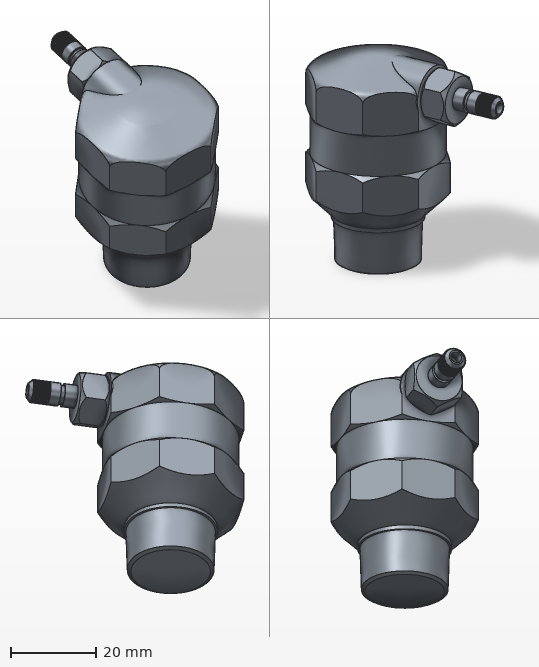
import cadquery as cq
import math

SPIGOT_HEIGHT = 11.0
SPIGOT_TOP_RADIUS = 10.5
SPIGOT_TAPER = 1 / 16
SPIGOT_CHAMFER_HEIGHT = 0.5
SPIGOT_CHAMFER_WIDTH = 0.87
COLLAR_RADIUS = 22.0 / 2
COLLAR_TOP = 12.0

BODY_RADIUS = 32.0 / 2
OCTAGON_SIDES = 8
OCTAGON_CORNER_RADIUS = BODY_RADIUS / math.cos(math.pi / OCTAGON_SIDES)
CORNER_OVERHANG = OCTAGON_CORNER_RADIUS - BODY_RADIUS
BAND_BOTTOM = 27.0
BAND_TOP = 37.0
UPPER_UNDERCUT_ANGLE = math.radians(30)

CAP_EDGE_HEIGHT = 48.25
CAP_EDGE_ROUND = 3.0
CAP_SLOPE = math.radians(20)
DOME_RIM_RADIUS = 7.15

BOSS_RADIUS = 14.0 / 2
BOSS_AXIS_HEIGHT = 45.0
BOSS_FACE_X = -BODY_RADIUS
NUT_LENGTH = 7.0
NUT_ACROSS_FLATS = 12.0
NUT_SIDES = 6
NUT_CORNER_RADIUS = NUT_ACROSS_FLATS / 2 / math.cos(math.pi / NUT_SIDES)
NUT_CHAMFER = 1.2

STEM_RADIUS = 5.5 / 2
STEM_AXIS_HEIGHT = 45.33
STEM_TIP_X = -34.5
TIP_FACE_RADIUS = 1.75
NECK_RADIUS = 4.52 / 2
NECK_START = 7.5
NECK_END = 8.5
KNURL_LENGTH = 5.0
KNURL_TEETH = 48
KNURL_DEPTH = 0.2
TIP_HOLE_RADIUS = 2.7 / 2
TIP_HOLE_DEPTH = 3.0
DRILL_POINT_ANGLE = math.radians(118)


def octagon(bottom, top):
    """Octagonal prism with flats facing the X and Y axes."""
    return (
        cq.Workplane("XY", origin=(0, 0, bottom))
        .polygon(OCTAGON_SIDES, 2 * OCTAGON_CORNER_RADIUS)
        .extrude(top - bottom)
        .rotate((0, 0, 0), (0, 0, 1), math.degrees(math.pi / OCTAGON_SIDES))
    )


def revolve_about_z(profile):
    """Solid of revolution from an open profile drawn in the XZ plane."""
    return profile.close().revolve(360, (0, 0, 0), (0, 1, 0))


def make_spigot():
    """Tapered spigot with a chamfered end, topped by the collar."""
    bottom_radius = SPIGOT_TOP_RADIUS - SPIGOT_TAPER / 2 * (SPIGOT_HEIGHT - SPIGOT_CHAMFER_HEIGHT)
    return revolve_about_z(
        cq.Workplane("XZ")
        .lineTo(bottom_radius - SPIGOT_CHAMFER_WIDTH, 0)
        .lineTo(bottom_radius, SPIGOT_CHAMFER_HEIGHT)
        .lineTo(SPIGOT_TOP_RADIUS, SPIGOT_HEIGHT)
        .lineTo(COLLAR_RADIUS, SPIGOT_HEIGHT)
        .lineTo(COLLAR_RADIUS, COLLAR_TOP)
        .lineTo(0, COLLAR_TOP)
    )


def make_lower_octagon():
    """Octagon trimmed by a 45 degree cone from the collar and a 45 degree top chamfer."""
    envelope = revolve_about_z(
        cq.Workplane("XZ", origin=(0, 0, COLLAR_TOP))
        .lineTo(COLLAR_RADIUS, 0)
        .lineTo(OCTAGON_CORNER_RADIUS, OCTAGON_CORNER_RADIUS - COLLAR_RADIUS)
        .lineTo(OCTAGON_CORNER_RADIUS, BAND_BOTTOM - COLLAR_TOP - CORNER_OVERHANG)
        .lineTo(BODY_RADIUS, BAND_BOTTOM - COLLAR_TOP)
        .lineTo(0, BAND_BOTTOM - COLLAR_TOP)
    )
    return octagon(COLLAR_TOP, BAND_BOTTOM).intersect(envelope)


def make_band():
    """Round band between the two octagons."""
    plane = cq.Workplane("XY", origin=(0, 0, BAND_BOTTOM))
    return plane.circle(BODY_RADIUS).extrude(BAND_TOP - BAND_BOTTOM)


def make_cap():
    """Octagon under a cone with a rounded edge and a tangent spherical crown."""
    round_center_radius = OCTAGON_CORNER_RADIUS - CAP_EDGE_ROUND
    round_center_height = CAP_EDGE_HEIGHT - CAP_EDGE_ROUND * math.cos(CAP_SLOPE)
    edge_radius = round_center_radius + CAP_EDGE_ROUND * math.sin(CAP_SLOPE)
    round_middle_angle = (math.pi / 2 - CAP_SLOPE) / 2
    round_middle = (
        round_center_radius + CAP_EDGE_ROUND * math.cos(round_middle_angle),
        round_center_height + CAP_EDGE_ROUND * math.sin(round_middle_angle),
    )

    rim_height = CAP_EDGE_HEIGHT + (edge_radius - DOME_RIM_RADIUS) * math.tan(CAP_SLOPE)
    crown_radius = DOME_RIM_RADIUS / math.sin(CAP_SLOPE)
    crown_center_height = rim_height - crown_radius * math.cos(CAP_SLOPE)
    crown_top = crown_center_height + crown_radius
    crown_middle = (
        crown_radius * math.sin(CAP_SLOPE / 2),
        crown_center_height + crown_radius * math.cos(CAP_SLOPE / 2),
    )

    envelope = revolve_about_z(
        cq.Workplane("XZ")
        .moveTo(0, BAND_TOP)
        .lineTo(BODY_RADIUS, BAND_TOP)
        .lineTo(OCTAGON_CORNER_RADIUS, BAND_TOP + CORNER_OVERHANG * math.tan(UPPER_UNDERCUT_ANGLE))
        .lineTo(OCTAGON_CORNER_RADIUS, round_center_height)
        .threePointArc(round_middle, (edge_radius, CAP_EDGE_HEIGHT))
        .lineTo(DOME_RIM_RADIUS, rim_height)
        .threePointArc(crown_middle, (0, crown_top))
    )
    return octagon(BAND_TOP, crown_top).intersect(envelope)


def make_boss():
    """Horizontal cylinder from the -X flat to the middle of the cap."""
    return (
        cq.Workplane("YZ", origin=(BOSS_FACE_X, 0, BOSS_AXIS_HEIGHT))
        .circle(BOSS_RADIUS)
        .extrude(-BOSS_FACE_X)
    )


def make_nut():
    """Hexagon with corners up and down, chamfered at both ends."""
    plane = cq.Workplane("YZ", origin=(BOSS_FACE_X - NUT_LENGTH, 0, BOSS_AXIS_HEIGHT))
    hexagon = (
        plane.polygon(NUT_SIDES, 2 * NUT_CORNER_RADIUS)
        .extrude(NUT_LENGTH)
        .rotate((0, 0, BOSS_AXIS_HEIGHT), (1, 0, BOSS_AXIS_HEIGHT), 90)
    )
    envelope = plane.circle(NUT_CORNER_RADIUS).extrude(NUT_LENGTH).edges().chamfer(NUT_CHAMFER)
    return hexagon.intersect(envelope)


def make_stem():
    """Round stem with a necked groove and a bevelled, V-toothed knurl at the tip."""
    tip = cq.Workplane("YZ", origin=(STEM_TIP_X, 0, STEM_AXIS_HEIGHT))
    stem_length = BOSS_FACE_X - STEM_TIP_X

    teeth_outline = []
    for index in range(2 * KNURL_TEETH):
        radius = STEM_RADIUS - KNURL_DEPTH * (index % 2)
        angle = math.pi * index / KNURL_TEETH
        teeth_outline.append((radius * math.cos(angle), radius * math.sin(angle)))
    knurl = tip.polyline(teeth_outline).close().extrude(KNURL_LENGTH)
    tip_bevel = STEM_RADIUS - TIP_FACE_RADIUS
    bevelled_rod = tip.circle(STEM_RADIUS).extrude(KNURL_LENGTH).faces("<X").chamfer(tip_bevel)
    knurl = knurl.intersect(bevelled_rod)

    shaft = tip.workplane(offset=KNURL_LENGTH).circle(STEM_RADIUS).extrude(stem_length - KNURL_LENGTH)
    neck = (
        tip.workplane(offset=NECK_START)
        .circle(STEM_RADIUS)
        .circle(NECK_RADIUS)
        .extrude(NECK_END - NECK_START)
    )
    return knurl.union(shaft.cut(neck))


def make_tip_hole():
    """Blind hole in the stem tip with a conical drill point."""
    point_length = TIP_HOLE_RADIUS / math.tan(DRILL_POINT_ANGLE / 2)
    return (
        cq.Workplane("XY", origin=(STEM_TIP_X, 0, STEM_AXIS_HEIGHT))
        .lineTo(0, TIP_HOLE_RADIUS)
        .lineTo(TIP_HOLE_DEPTH, TIP_HOLE_RADIUS)
        .lineTo(TIP_HOLE_DEPTH + point_length, 0)
        .close()
        .revolve(360, (0, 0, 0), (1, 0, 0))
    )


body = make_spigot().union(make_lower_octagon()).union(make_band()).union(make_cap())
result = body.union(make_boss()).union(make_nut()).union(make_stem()).cut(make_tip_hole())